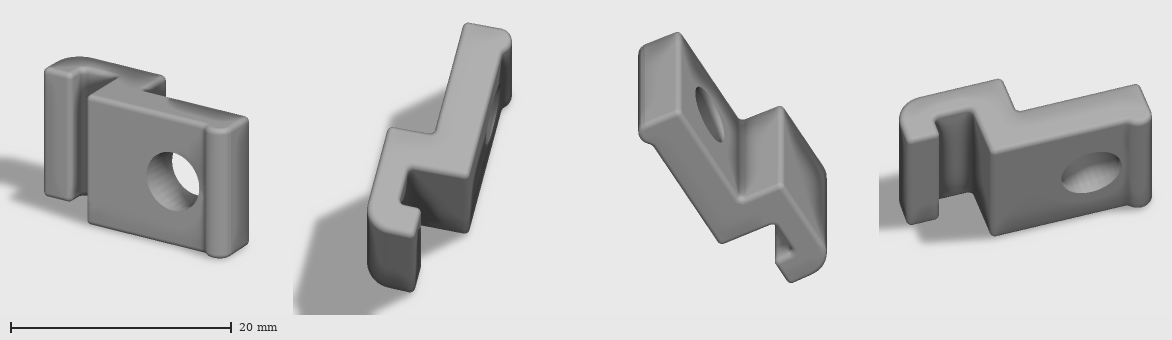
import cadquery as cq
import math

LENGTH = 22.22
DEPTH = 8.9
HEIGHT = 12.7
EDGE_RADIUS = 0.49

HOOK_CORNER_RADIUS = 2.53
TIP_THICKNESS = 3.09
TIP_Y = 4.0
HOOK_INNER_Y = 6.13
WEB_INNER_X = 6.89
WEB_OUTER_X = 10.53

PLATE_FRONT_Y = 0.6
PLATE_BACK_Y = 4.7
BEAD_RADIUS = 1.33
BEAD_X = 20.93
BEAD_END_X = 22.13
BEAD_BLEND_RADIUS = 0.67

PARTING_Y = 1.2
WALL_DRAFT = math.tan(math.radians(2.0))
FACE_DRAFT = math.tan(math.radians(0.6))

HOLE_X = 16.35
HOLE_FRONT_RADIUS = 2.85
HOLE_BACK_RADIUS = 2.75


def bead_outline(outline):
    """Extend the outline along the blend and the bead to the right end."""
    blend_y = PLATE_FRONT_Y - BEAD_BLEND_RADIUS
    center_distance = BEAD_RADIUS + BEAD_BLEND_RADIUS
    angle = math.asin((BEAD_RADIUS - blend_y) / center_distance)
    blend_x = BEAD_X - center_distance * math.cos(angle)
    half_angle = (angle + math.pi / 2) / 2
    blend_middle = (
        blend_x + BEAD_BLEND_RADIUS * math.cos(half_angle),
        blend_y + BEAD_BLEND_RADIUS * math.sin(half_angle),
    )
    bead_start = (
        BEAD_X - BEAD_RADIUS * math.cos(angle),
        BEAD_RADIUS - BEAD_RADIUS * math.sin(angle),
    )
    bead_end_y = BEAD_RADIUS - math.sqrt(BEAD_RADIUS**2 - (BEAD_END_X - BEAD_X) ** 2)
    return (
        outline.lineTo(blend_x, PLATE_FRONT_Y)
        .threePointArc(blend_middle, bead_start)
        .threePointArc((BEAD_X, 0), (BEAD_END_X, bead_end_y))
        .lineTo(LENGTH, PARTING_Y)
    )


def make_profile(height, with_bead, end_draft):
    """Hook, web and plate with sharp corners, extruded to a given height."""
    web_inner_top_x = WEB_INNER_X - WALL_DRAFT * (HOOK_INNER_Y - PLATE_FRONT_Y)
    web_outer_top_x = WEB_OUTER_X - WALL_DRAFT * (DEPTH - PLATE_BACK_Y)
    end_front_x = LENGTH + end_draft * (PARTING_Y - PLATE_FRONT_Y)
    end_back_x = LENGTH - end_draft * (PLATE_BACK_Y - PARTING_Y)

    outline = (
        cq.Workplane("XY", origin=(0, 0, -height / 2))
        .moveTo(0, TIP_Y)
        .lineTo(TIP_THICKNESS, TIP_Y)
        .lineTo(TIP_THICKNESS, HOOK_INNER_Y)
        .lineTo(web_inner_top_x, HOOK_INNER_Y)
        .lineTo(WEB_INNER_X, PLATE_FRONT_Y)
    )
    if with_bead:
        outline = bead_outline(outline)
    else:
        outline = outline.lineTo(end_front_x, PLATE_FRONT_Y)
    return (
        outline.lineTo(end_back_x, PLATE_BACK_Y)
        .lineTo(WEB_OUTER_X, PLATE_BACK_Y)
        .lineTo(web_outer_top_x, DEPTH)
        .lineTo(0, DEPTH)
        .close()
        .extrude(height)
    )


def make_draft_wedge():
    """Block whose top and bottom faces close in toward the back."""
    half_front = HEIGHT / 2 + FACE_DRAFT * PARTING_Y
    half_back = HEIGHT / 2 - FACE_DRAFT * (DEPTH - PARTING_Y)
    return (
        cq.Workplane("YZ")
        .polyline([
            (0, -half_front),
            (DEPTH, -half_back),
            (DEPTH, half_back),
            (0, half_front),
        ])
        .close()
        .extrude(2 * LENGTH)
    )


def corner(x, y):
    """Selector for the upright edge nearest to (x, y)."""
    return cq.NearestToPointSelector((x, y, 0))


def round_corners(body):
    """Round the upright edges of the outline."""
    body = body.edges("|Z").edges(corner(0, DEPTH)).fillet(HOOK_CORNER_RADIUS)
    for x, y in [
        (0, TIP_Y),
        (TIP_THICKNESS, TIP_Y),
        (TIP_THICKNESS, HOOK_INNER_Y),
        (WEB_INNER_X, HOOK_INNER_Y),
        (WEB_INNER_X, PLATE_FRONT_Y),
        (LENGTH, PLATE_BACK_Y),
        (WEB_OUTER_X, PLATE_BACK_Y),
        (WEB_OUTER_X, DEPTH),
    ]:
        body = body.edges("|Z").edges(corner(x, y)).fillet(EDGE_RADIUS)
    return body


def make_hole():
    """Cone through the plate, narrowing toward the back."""
    return (
        cq.Workplane("XY")
        .polyline([
            (HOLE_X, PLATE_FRONT_Y),
            (HOLE_X + HOLE_FRONT_RADIUS, PLATE_FRONT_Y),
            (HOLE_X + HOLE_BACK_RADIUS, PLATE_BACK_Y),
            (HOLE_X, PLATE_BACK_Y),
        ])
        .close()
        .revolve(360, (HOLE_X, 0, 0), (HOLE_X, 1, 0))
    )


def round_rims(body):
    """Round the edges around the top and bottom faces."""
    return body.faces(">Z or <Z").edges().fillet(EDGE_RADIUS)


def make_front_part():
    """Everything in front of the parting plane: straight faces, with the bead."""
    body = round_rims(round_corners(make_profile(HEIGHT, with_bead=True, end_draft=0)))
    keep = cq.Workplane("XY").box(
        2 * LENGTH, PARTING_Y, 2 * HEIGHT, centered=(True, False, True)
    )
    return body.intersect(keep)


def make_back_part():
    """Everything behind the parting plane: drafted faces, no bead."""
    body = make_profile(2 * HEIGHT, with_bead=False, end_draft=WALL_DRAFT)
    body = round_rims(round_corners(body).intersect(make_draft_wedge()))
    keep = cq.Workplane("XY").box(
        2 * LENGTH, DEPTH - PARTING_Y, 2 * HEIGHT, centered=(True, False, True)
    )
    return body.intersect(keep.translate((0, PARTING_Y, 0)))


result = make_front_part().union(make_back_part()).cut(make_hole())